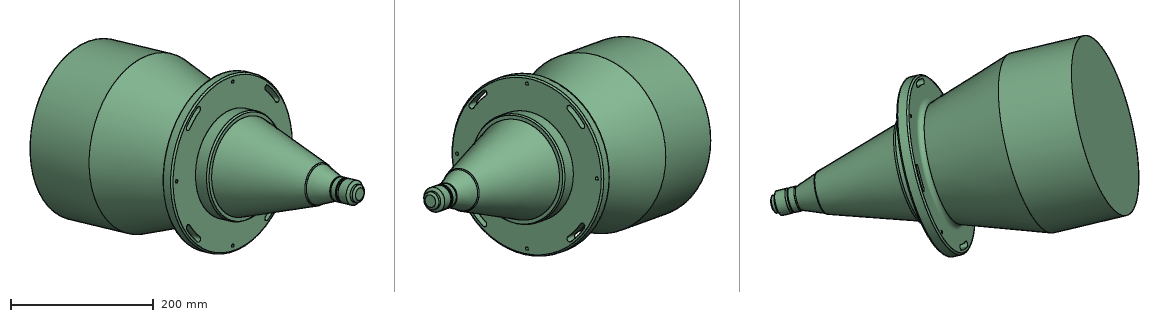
import cadquery as cq
import math

total_length = 500.5

flange_radius = 129.9
flange_start = 246.0
flange_end = 264.5
flange_chamfer = 2.5

drum_radius = flange_radius
drum_end = 110.0
taper_end = 236.5
taper_end_radius = 89.0
neck_radius = 88.0
neck_start = 238.5
neck_fillet = flange_start - neck_start

boss_radius = 79.5
boss_end = 288.5
boss_chamfer_length = 3.5
boss_chamfer_depth = 1.5

cone_start_radius = 72.5
cone_end = 425.5
cone_end_radius = 31.0
cone_step = 1.5
nozzle_start = 458.5
nozzle_radius = 18.0

groove_spans = ((nozzle_start, 462.0), (471.0, 475.5))
groove_slope = 1.5
groove_depth = 0.5
shoulder_start = 491.0
shoulder_end = 494.0
tip_radius = 13.0
tip_chamfer_length = 2.5
tip_chamfer_depth = 4.0

bolt_circle_radius = 119.5
slot_width = 8.0
slot_half_angle = 7.5
slot_angles = (45, 135, 225, 315)
pin_hole_diameter = 4.5
pin_hole_angles = (0, 90, 180, 270)


def make_body():
    """Revolve the half outline around the X axis."""
    outline = (
        cq.Workplane("XY")
        .moveTo(0, 0)
        .lineTo(0, drum_radius)
        .lineTo(drum_end, drum_radius)
        .lineTo(taper_end, taper_end_radius)
        .lineTo(neck_start, neck_radius)
        .radiusArc((flange_start, neck_radius + neck_fillet), -neck_fillet)
        .lineTo(flange_start, flange_radius - flange_chamfer)
        .lineTo(flange_start + flange_chamfer, flange_radius)
        .lineTo(flange_end - flange_chamfer, flange_radius)
        .lineTo(flange_end, flange_radius - flange_chamfer)
        .lineTo(flange_end, boss_radius)
        .lineTo(boss_end - boss_chamfer_length, boss_radius)
        .lineTo(boss_end, boss_radius - boss_chamfer_depth)
        .lineTo(boss_end, cone_start_radius)
        .lineTo(cone_end, cone_end_radius)
        .lineTo(cone_end + cone_step, cone_end_radius - cone_step)
        .lineTo(nozzle_start, nozzle_radius)
        .lineTo(shoulder_start, nozzle_radius)
        .lineTo(shoulder_end, tip_radius)
        .lineTo(total_length - tip_chamfer_length, tip_radius)
        .lineTo(total_length, tip_radius - tip_chamfer_depth)
        .lineTo(total_length, 0)
        .close()
    )
    return outline.revolve(360, (0, 0, 0), (1, 0, 0))


def make_groove(start, end):
    """Ring that cuts a shallow groove with a sloped rear side and a square front side."""
    floor_radius = nozzle_radius - groove_depth
    return (
        cq.Workplane("XY")
        .moveTo(start, nozzle_radius)
        .lineTo(start + groove_slope, floor_radius)
        .lineTo(end, floor_radius)
        .lineTo(end, nozzle_radius)
        .close()
        .revolve(360, (0, 0, 0), (1, 0, 0))
    )


def circle_point(radius, angle):
    """Point at an angle in the YZ plane, measured from +Y towards +Z."""
    return (radius * math.cos(math.radians(angle)), radius * math.sin(math.radians(angle)))


def make_slot(angle):
    """Round-ended arc slot through the flange, centred on an angle."""
    first = angle - slot_half_angle
    last = angle + slot_half_angle
    inner = bolt_circle_radius - slot_width / 2
    outer = bolt_circle_radius + slot_width / 2
    return (
        cq.Workplane("YZ", origin=(flange_start, 0, 0))
        .moveTo(*circle_point(inner, first))
        .threePointArc(circle_point(inner, angle), circle_point(inner, last))
        .radiusArc(circle_point(outer, last), slot_width / 2)
        .threePointArc(circle_point(outer, angle), circle_point(outer, first))
        .radiusArc(circle_point(inner, first), slot_width / 2)
        .close()
        .extrude(flange_end - flange_start)
    )


def make_pin_hole(angle):
    """Small round hole through the flange."""
    return (
        cq.Workplane("YZ", origin=(flange_start, 0, 0))
        .center(*circle_point(bolt_circle_radius, angle))
        .circle(pin_hole_diameter / 2)
        .extrude(flange_end - flange_start)
    )


result = make_body()
for start, end in groove_spans:
    result = result.cut(make_groove(start, end))
for angle in slot_angles:
    result = result.cut(make_slot(angle))
for angle in pin_hole_angles:
    result = result.cut(make_pin_hole(angle))